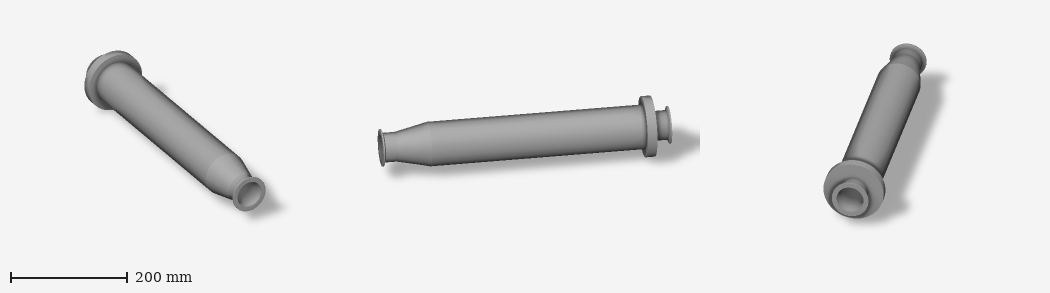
import cadquery as cq

total_length = 500.0
bore_diameter = 47.0
tube_diameter = 51.0
ferrule_diameter = 64.0
body_diameter = 76.5
flange_diameter = 105.0

ferrule_rim = 2.5
ferrule_length = 5.0
inlet_length = 29.0
flange_thickness = 16.5
outlet_length = 25.5
cone_length = 57.5

inlet_end = -total_length / 2
outlet_end = total_length / 2
flange_start = inlet_end + inlet_length
flange_end = flange_start + flange_thickness
cone_end = outlet_end - outlet_length
cone_start = cone_end - cone_length

bore_radius = bore_diameter / 2
tube_radius = tube_diameter / 2
ferrule_radius = ferrule_diameter / 2
body_radius = body_diameter / 2
flange_radius = flange_diameter / 2

half_section = [
    (inlet_end, bore_radius),
    (inlet_end, ferrule_radius),
    (inlet_end + ferrule_rim, ferrule_radius),
    (inlet_end + ferrule_length, tube_radius),
    (flange_start, tube_radius),
    (flange_start, flange_radius),
    (flange_end, flange_radius),
    (flange_end, body_radius),
    (cone_start, body_radius),
    (cone_end, tube_radius),
    (outlet_end - ferrule_length, tube_radius),
    (outlet_end - ferrule_rim, ferrule_radius),
    (outlet_end, ferrule_radius),
    (outlet_end, bore_radius),
]

result = cq.Workplane("XY").polyline(half_section).close().revolve(360, (0, 0, 0), (1, 0, 0))